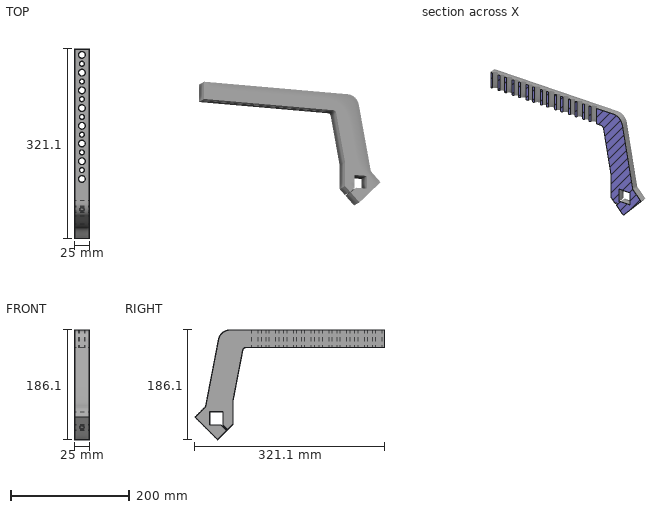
import cadquery as cq
import math

thickness = 25.0

arm_end_y = 285.0
arm_top_z = 150.0
arm_height = 30.0

leg_slope = math.radians(10.9)
leg_front_y = 6.6
leg_width = 44.0
outer_bend_radius = 20.0
inner_bend_radius = 5.0
neck_radius = 5.0

head_width = 54.2
head_reach = 23.9
head_back_y = 28.5
socket_size = 22.0

slit_width = 2.0
pin_diameter = 8.0
pin_distance = 20.1

hole_count = 15
hole_pitch = 15.0
first_hole_from_end = 10.0
large_hole_diameter = 11.0
small_hole_diameter = 8.0

HALF_ROOT = math.sqrt(0.5)


def head_point(reach, rise):
    """YZ point on the head's 45 degree axes.

    reach runs forward and down, rise runs forward and up, both from the socket centre.
    """
    return -(reach + rise) * HALF_ROOT, (rise - reach) * HALF_ROOT


def extrude_outline(points):
    """Closed YZ outline made into a solid over the full thickness."""
    return cq.Workplane("YZ").polyline(points).close().extrude(thickness / 2, both=True)


def make_body():
    """Arm, leg and head as one plate with rounded bends."""
    run_per_drop = math.tan(leg_slope)
    arm_bottom_z = arm_top_z - arm_height
    leg_span_y = leg_width / math.cos(leg_slope)

    outer_bend = (leg_front_y, arm_top_z)
    inner_bend_y = leg_front_y + leg_span_y - run_per_drop * arm_height
    inner_bend = (inner_bend_y, arm_bottom_z)
    leg_back_foot = (head_back_y, arm_bottom_z - (inner_bend_y - head_back_y) / run_per_drop)

    face_offset = head_width * HALF_ROOT
    neck_z = (leg_front_y + face_offset - run_per_drop * arm_top_z) / (1 - run_per_drop)
    neck = (neck_z - face_offset, neck_z)

    body = extrude_outline(
        [
            (arm_end_y, arm_top_z),
            outer_bend,
            neck,
            head_point(head_reach, head_width / 2),
            head_point(head_reach, -head_width / 2),
            (head_back_y, head_back_y - face_offset),
            leg_back_foot,
            inner_bend,
            (arm_end_y, arm_bottom_z),
        ]
    )
    for corner, radius in (
        (outer_bend, outer_bend_radius),
        (inner_bend, inner_bend_radius),
        (neck, neck_radius),
    ):
        nearest = cq.selectors.NearestToPointSelector((0, *corner))
        body = body.edges("|X").edges(nearest).fillet(radius)
    return body


def make_socket():
    """Square hole through the head."""
    return cq.Workplane("YZ").rect(socket_size, socket_size).extrude(thickness / 2, both=True)


def make_slit():
    """Slit whose upper wall runs along the socket's diagonal, out through the lower rear face."""
    return extrude_outline(
        [
            head_point(0, 0),
            head_point(slit_width, 0),
            head_point(slit_width, -head_width),
            head_point(0, -head_width),
        ]
    )


def make_pin():
    """Pin crossing the slit from wall to wall, square to it and centred in X."""
    across_slit = cq.Plane(
        origin=(0, *head_point(0, -pin_distance)),
        xDir=(1, 0, 0),
        normal=(0, *head_point(1, 0)),
    )
    return cq.Workplane(across_slit).circle(pin_diameter / 2).extrude(slit_width)


def drill_arm(body):
    """Drill the row of alternating holes down through the arm."""
    for index in range(hole_count):
        diameter = large_hole_diameter if index % 2 == 0 else small_hole_diameter
        hole_y = arm_end_y - first_hole_from_end - index * hole_pitch
        top = cq.Workplane("XY", origin=(0, hole_y, arm_top_z))
        body = body.cut(top.circle(diameter / 2).extrude(-arm_height))
    return body


body = make_body().cut(make_socket()).cut(make_slit()).union(make_pin())
result = drill_arm(body)